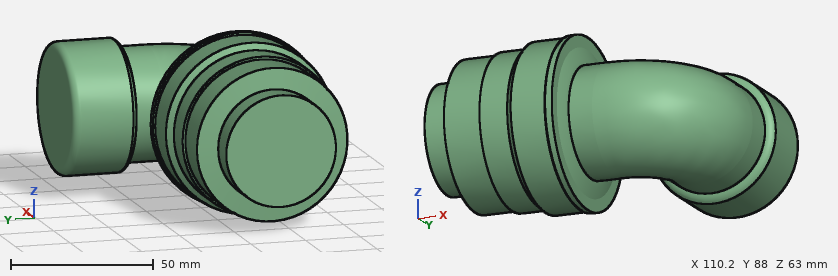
import cadquery as cq
import math

plug_length = 9.8
sleeve_face_rise = 0.9
sleeve_end = 24.7
nut_shoulder_start = 35.3
nut_shoulder_end = 37.6
lip_start = 50.5
lip_end = 53.6
nut_end = 55.2
bend_start = 64.3

plug_radius = 20.1
sleeve_radius = 27.6
nut_front_radius = 28.5
nut_body_radius = 30.8
lip_radius = 63.0 / 2
lip_bevel = 0.5
dome_radius = 26.8
dome_bulge = 0.28

pipe_radius = 20.5
socket_radius = 23.7
overall_length = 110.2
overall_width = 88.0
outlet_axis_x = overall_length - socket_radius
bend_radius = outlet_axis_x - bend_start
socket_start = 32.9
socket_end = overall_width - lip_radius
socket_mouth_fillet = 2.6
socket_base_rise = 2.1
socket_base_bulge = 0.3


def make_plug():
    """Round plug at the free end."""
    return cq.Workplane("YZ").circle(plug_radius).extrude(plug_length)


def make_sleeve():
    """Ring section with a slightly conical front face around the plug."""
    profile = (
        cq.Workplane("XY")
        .moveTo(plug_length, 0)
        .lineTo(plug_length, plug_radius)
        .lineTo(plug_length + sleeve_face_rise, sleeve_radius)
        .lineTo(sleeve_end, sleeve_radius)
        .lineTo(sleeve_end, 0)
        .close()
    )
    return profile.revolve(360, (0, 0, 0), (1, 0, 0))


def make_nut():
    """Stepped nut with a conical shoulder, a rear lip and a low rear dome."""
    dome_middle = (
        (lip_end + nut_end) / 2 + dome_bulge,
        (dome_radius + pipe_radius) / 2,
    )
    profile = (
        cq.Workplane("XY")
        .moveTo(sleeve_end, 0)
        .lineTo(sleeve_end, nut_front_radius)
        .lineTo(nut_shoulder_start, nut_front_radius)
        .lineTo(nut_shoulder_end, nut_body_radius)
        .lineTo(lip_start, nut_body_radius)
        .lineTo(lip_start + lip_bevel, lip_radius)
        .lineTo(lip_end, lip_radius)
        .lineTo(lip_end, dome_radius)
        .threePointArc(dome_middle, (nut_end, pipe_radius))
        .lineTo(nut_end, 0)
        .close()
    )
    return profile.revolve(360, (0, 0, 0), (1, 0, 0))


def make_elbow_pipe():
    """Pipe that leaves the nut along +X and turns 90 degrees to +Y."""
    bend_middle = (
        bend_start + bend_radius * math.sin(math.pi / 4),
        bend_radius * (1 - math.cos(math.pi / 4)),
    )
    path = (
        cq.Workplane("XY")
        .moveTo(nut_end, 0)
        .lineTo(bend_start, 0)
        .threePointArc(bend_middle, (outlet_axis_x, bend_radius))
        .lineTo(outlet_axis_x, socket_start)
    )
    start_plane = cq.Workplane("YZ", origin=(nut_end, 0, 0))
    return start_plane.circle(pipe_radius).sweep(path)


def make_socket():
    """Rounded collar that closes the outlet end of the elbow."""
    base_end = socket_start + socket_base_rise
    base_middle = (
        outlet_axis_x + (pipe_radius + socket_radius) / 2 + socket_base_bulge,
        (socket_start + base_end) / 2 - socket_base_bulge,
    )
    profile = (
        cq.Workplane("XY")
        .moveTo(outlet_axis_x, socket_start)
        .lineTo(outlet_axis_x + pipe_radius, socket_start)
        .threePointArc(base_middle, (overall_length, base_end))
        .lineTo(overall_length, socket_end)
        .lineTo(outlet_axis_x, socket_end)
        .close()
    )
    collar = profile.revolve(360, (outlet_axis_x, 0, 0), (outlet_axis_x, 1, 0))
    return collar.faces(">Y").edges().fillet(socket_mouth_fillet)


plug = make_plug()
sleeve = make_sleeve()
nut = make_nut()
elbow = make_elbow_pipe().union(make_socket())

result = cq.Compound.makeCompound([plug.val(), sleeve.val(), nut.val(), *elbow.solids().vals()])